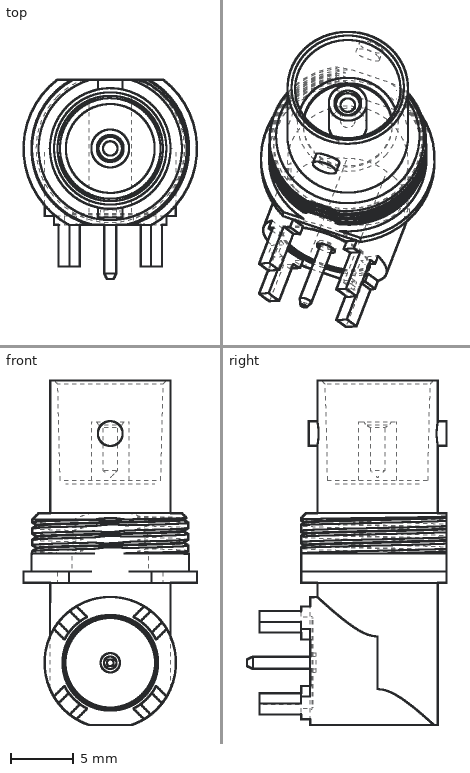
import cadquery as cq


barrel_radius = 4.85
top_z = 22.65
bottom_z = top_z - 27.65
bore_radius = 4.04
mouth_radius = 4.5
mouth_throat_radius = 4.23
mouth_chamfer = 0.28
shoulder_depth = 8.02
insulator_radius = 3.57
insulator_depth = 8.3

boss_radius = 1.52
boss_depth = 3.35
contact_mouth_radius = 1.08
contact_throat_radius = 0.95
contact_hole_radius = 0.58
contact_countersink = 0.22
contact_hole_depth = 3.87

lug_radius = 1.0
lug_reach = 5.53
lug_z = top_z - 4.25

thread_radius = 6.27
thread_root_radius = 5.95
thread_pitch = 0.9
thread_top_z = top_z - 10.65
thread_chamfer = 0.53
groove_root_width = 0.05
groove_crest_width = 0.5
groove_center_z = top_z - 12.08
groove_turns_below = 3
groove_turns = 4.2
cutter_overshoot = 0.15
collar_radius = 6.33
collar_top_z = top_z - 13.88
flange_radius = 6.97
flange_top_z = top_z - 15.3
flange_bottom_z = top_z - 16.22
front_flat_y = -6.14
back_flat_y = lug_reach

elbow_radius = 5.28
elbow_face_y = -5.42
recess_radius = 3.85
recess_floor_radius = 3.7
recess_depth = 0.15
face_insulator_radius = 3.6
face_insulator_depth = 0.22
pin_well_radius = 0.77
pin_well_depth = 0.28
pin_radius = 0.5
pin_tip_radius = 0.28
pin_shoulder_y = -10.0
pin_end_y = -10.48

foot_inner_radius = 4.12
standoff_width = 2.57
standoff_end_y = -6.14
leg_width = 1.27
leg_end_y = -9.48
leg_angles = (45, 135, 225, 315)


def disc(radius, low_z, high_z):
    return cq.Workplane("XY").workplane(offset=low_z).circle(radius).extrude(high_z - low_z)


def rod_along_y(radius, start_y, end_y):
    """Cylinder on the Y axis; end_y lies on the -Y side of start_y."""
    return cq.Workplane("XZ", origin=(0, start_y, 0)).circle(radius).extrude(start_y - end_y)


def make_body():
    """Upright barrel running into the solder cylinder, flat underneath."""
    upper = disc(barrel_radius, 0, top_z)
    heel = disc(barrel_radius, bottom_z, 0).intersect(
        rod_along_y(elbow_radius, barrel_radius, 0)
    )
    outlet = rod_along_y(elbow_radius, 0, elbow_face_y)
    below = disc(2 * elbow_radius, bottom_z - elbow_radius, bottom_z)
    return upper.union(heel).union(outlet.cut(below))


def make_thread():
    """Ring with a right-hand external thread, open at both ends."""
    ring = (
        disc(thread_radius, collar_top_z, thread_top_z)
        .faces(">Z")
        .chamfer(thread_chamfer)
    )
    start_z = groove_center_z - groove_turns_below * thread_pitch
    depth = thread_radius - thread_root_radius
    slope = (groove_crest_width - groove_root_width) / depth
    outer_radius = thread_radius + cutter_overshoot
    root_half = groove_root_width / 2
    outer_half = (groove_crest_width + slope * cutter_overshoot) / 2
    path = cq.Wire.makeHelix(
        thread_pitch, groove_turns * thread_pitch, thread_root_radius, cq.Vector(0, 0, start_z)
    )
    groove = (
        cq.Workplane("XZ")
        .polyline(
            [
                (thread_root_radius, start_z - root_half),
                (outer_radius, start_z - outer_half),
                (outer_radius, start_z + outer_half),
                (thread_root_radius, start_z + root_half),
            ]
        )
        .close()
        .sweep(cq.Workplane(obj=path), isFrenet=True)
    )
    end_margin = thread_pitch
    bar_end_z = start_z + groove_turns * thread_pitch + end_margin
    bar = disc(thread_radius, start_z - end_margin, bar_end_z)
    return bar.cut(groove).intersect(ring)


def make_panel_mount():
    collar = disc(collar_radius, flange_top_z, collar_top_z)
    flange = disc(flange_radius, flange_bottom_z, flange_top_z)
    flats = (
        cq.Workplane("XY", origin=(0, 0, flange_bottom_z))
        .center(0, (front_flat_y + back_flat_y) / 2)
        .rect(2 * flange_radius, back_flat_y - front_flat_y)
        .extrude(thread_top_z - flange_bottom_z)
    )
    return make_thread().union(collar).union(flange).intersect(flats)


def make_socket_bore():
    """Chamfered mouth, slightly tapered bore and stepped floor, leaving the insulator boss."""
    shoulder_z = top_z - shoulder_depth
    floor_z = top_z - insulator_depth
    boss_z = top_z - boss_depth
    profile = (
        cq.Workplane("XZ")
        .moveTo(0, top_z)
        .lineTo(mouth_radius, top_z)
        .lineTo(mouth_throat_radius, top_z - mouth_chamfer)
        .lineTo(bore_radius, shoulder_z)
        .lineTo(insulator_radius, shoulder_z)
        .lineTo(insulator_radius, floor_z)
        .lineTo(boss_radius, floor_z)
        .lineTo(boss_radius, boss_z)
        .lineTo(0, boss_z)
        .close()
    )
    return profile.revolve(360, (0, 0, 0), (0, 1, 0))


def make_contact_hole():
    """Countersunk hole with a drill-point bottom."""
    boss_z = top_z - boss_depth
    throat_z = boss_z - contact_countersink
    hole_z = boss_z - contact_hole_depth
    profile = (
        cq.Workplane("XZ")
        .moveTo(0, boss_z)
        .lineTo(contact_mouth_radius, boss_z)
        .lineTo(contact_throat_radius, throat_z)
        .lineTo(contact_hole_radius, throat_z - contact_countersink)
        .lineTo(contact_hole_radius, hole_z)
        .lineTo(0, hole_z - contact_hole_radius)
        .close()
    )
    return profile.revolve(360, (0, 0, 0), (0, 1, 0))


def make_face_recess():
    """Sloping rim, narrow shelf and insulator face with a small well around the pin."""
    shelf_y = elbow_face_y + recess_depth
    floor_y = elbow_face_y + face_insulator_depth
    profile = (
        cq.Workplane("XY")
        .moveTo(0, elbow_face_y)
        .lineTo(recess_radius, elbow_face_y)
        .lineTo(recess_floor_radius, shelf_y)
        .lineTo(face_insulator_radius, shelf_y)
        .lineTo(face_insulator_radius, floor_y)
        .lineTo(pin_well_radius, floor_y)
        .lineTo(pin_well_radius, floor_y + pin_well_depth)
        .lineTo(0, floor_y + pin_well_depth)
        .close()
    )
    return profile.revolve(360, (0, 0, 0), (0, 1, 0))


def make_pin():
    profile = (
        cq.Workplane("XY")
        .lineTo(pin_radius, 0)
        .lineTo(pin_radius, pin_shoulder_y)
        .lineTo(pin_tip_radius, pin_end_y)
        .lineTo(0, pin_end_y)
        .close()
    )
    return profile.revolve(360, (0, 0, 0), (0, 1, 0))


def make_foot(width, end_y):
    """Sector of a ring, flush with the elbow, from the solder face to end_y."""
    block = (
        cq.Workplane("XZ", origin=(0, elbow_face_y, 0))
        .center(elbow_radius / 2, 0)
        .rect(elbow_radius, width)
        .extrude(elbow_face_y - end_y)
    )
    ring = rod_along_y(elbow_radius, elbow_face_y, end_y).cut(
        rod_along_y(foot_inner_radius, elbow_face_y, end_y)
    )
    return block.intersect(ring)


lugs = rod_along_y(lug_radius, lug_reach, -lug_reach).translate((0, 0, lug_z))
foot = make_foot(standoff_width, standoff_end_y).union(make_foot(leg_width, leg_end_y))

result = (
    make_body()
    .union(make_panel_mount())
    .union(lugs)
    .cut(make_socket_bore())
    .cut(make_contact_hole())
    .cut(make_face_recess())
    .union(make_pin())
)
for angle in leg_angles:
    result = result.union(foot.rotate((0, 0, 0), (0, 1, 0), angle))